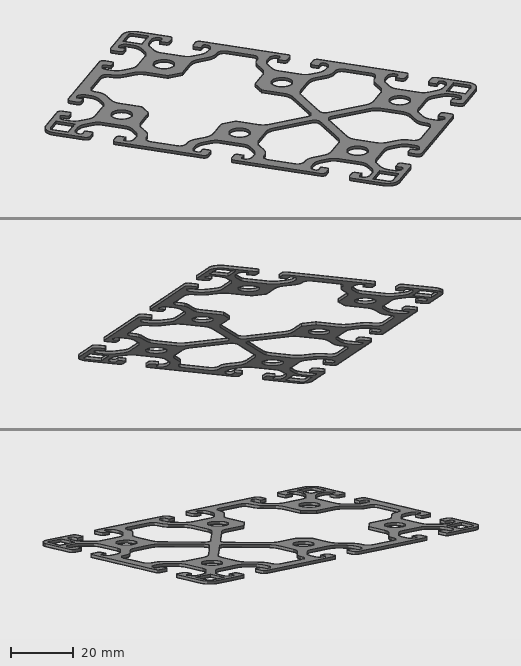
import cadquery as cq
import math

LENGTH = 120.0
COLUMNS = 3
ROWS = 2
PITCH = LENGTH / COLUMNS
WIDTH = ROWS * PITCH
THICKNESS = 1.0
OUTER_CORNER_RADIUS = 4.0

MOUTH_HALF = 4.0
LIP_DEPTH = 4.5
LIP_WIDTH = 3.0
LIP_FACE_RADIUS = 1.3
LIP_TIP_RADIUS = 1.0
POCKET_ROOF = 1.9
POCKET_HALF = 10.0
POCKET_ROOF_RADIUS = 2.2
POCKET_SHOULDER_RADIUS = 4.8
POCKET_FLOOR_RADIUS = 4.0
POCKET_BEVEL_GAP = 1.5
LIP_ROOT_RADIUS = 0.7

BOSS_HALF = 7.7
BOSS_HOLE_DIAMETER = 6.8
BOSS_CHAMFER = 3.6
SPOKE_HALF = 1.5

WALL = 4.1
NECK_HALF = 6.8
WALL_CORNER_RADIUS = 2.4
BEND_RADIUS = 5.0
TIP_RADIUS = 2.0

CORNER_OPENING = 6.4
CORNER_OPENING_EDGE = 1.9
CORNER_OPENING_RADIUS = 1.2

BOSS_FACE = PITCH / 2 - BOSS_HALF
SPOKE_OFFSET = SPOKE_HALF * math.sqrt(2)


def rounded_plate(corners):
    """Extrude a closed outline of (x, y, radius) corners; radius 0 leaves a corner sharp."""
    pieces = []
    for i, (x, y, radius) in enumerate(corners):
        corner = cq.Vector(x, y)
        if radius == 0:
            pieces.append((corner, None, corner))
            continue
        before = cq.Vector(*corners[i - 1][:2])
        after = cq.Vector(*corners[(i + 1) % len(corners)][:2])
        to_before = (before - corner).normalized()
        to_after = (after - corner).normalized()
        half_angle = to_before.getAngle(to_after) / 2
        setback = radius / math.tan(half_angle)
        bisector = (to_before + to_after).normalized()
        middle = corner + bisector * (radius / math.sin(half_angle) - radius)
        pieces.append((corner + to_before * setback, middle, corner + to_after * setback))

    outline = cq.Workplane("XY").moveTo(*pieces[-1][2].toTuple()[:2])
    for start, middle, end in pieces:
        outline = outline.lineTo(start.x, start.y)
        if middle is not None:
            outline = outline.threePointArc((middle.x, middle.y), (end.x, end.y))
    return outline.wire().extrude(THICKNESS)


def mirrored(half):
    """Complete a left-hand chain of corners with its mirror image about the Y axis."""
    return half + [(-x, y, radius) for x, y, radius in reversed(half)]


def turned(corners, degrees, center=(0, 0)):
    """Turn corners about the origin, then move them to a centre."""
    c = math.cos(math.radians(degrees))
    s = math.sin(math.radians(degrees))
    return [(center[0] + c * x - s * y, center[1] + s * x + c * y, r) for x, y, r in corners]


def slot_corners():
    """One T-slot opening downward, with the outer face on Y = 0."""
    lip_outer = MOUTH_HALF + LIP_WIDTH
    bevel_sum = PITCH / 2 - POCKET_BEVEL_GAP * math.sqrt(2)
    floor_half = bevel_sum - BOSS_FACE
    shoulder_depth = bevel_sum - POCKET_HALF
    return mirrored([
        (-MOUTH_HALF, 0, LIP_FACE_RADIUS),
        (-MOUTH_HALF, LIP_DEPTH, LIP_TIP_RADIUS),
        (-lip_outer, LIP_DEPTH, 0),
        (-lip_outer, POCKET_ROOF, LIP_ROOT_RADIUS),
        (-POCKET_HALF, POCKET_ROOF, POCKET_ROOF_RADIUS),
        (-POCKET_HALF, shoulder_depth, POCKET_SHOULDER_RADIUS),
        (-floor_half, BOSS_FACE, POCKET_FLOOR_RADIUS),
    ])


def slotted_blank():
    """Outer outline, walked counter-clockwise with a slot at every cell."""
    corners = []
    sides = [(COLUMNS, WIDTH), (ROWS, LENGTH), (COLUMNS, WIDTH), (ROWS, LENGTH)]
    for side, (cells, across) in enumerate(sides):
        start = -cells * PITCH / 2
        chain = [(start, -across / 2, OUTER_CORNER_RADIUS)]
        for cell in range(cells):
            middle = start + (cell + 0.5) * PITCH
            chain += [(middle + x, y - across / 2, r) for x, y, r in slot_corners()]
        corners += turned(chain, 90 * side)
    return rounded_plate(corners)


def lobe_corners(near_corner):
    """Cavity lobe pointing along +Y from the meeting point of four cells, clockwise."""
    return mirrored([
        near_corner,
        (-BOSS_FACE, PITCH - SPOKE_OFFSET - BOSS_FACE, BEND_RADIUS),
        (-NECK_HALF, PITCH - SPOKE_OFFSET - NECK_HALF, BEND_RADIUS),
        (-NECK_HALF, PITCH - WALL, WALL_CORNER_RADIUS),
    ])


SPOKE_BEND = (-BOSS_FACE, BOSS_FACE + SPOKE_OFFSET, BEND_RADIUS)
CROSSING_TIP = (0, SPOKE_OFFSET, TIP_RADIUS)
CROSSING_CENTER = (PITCH / 2, 0)
OPEN_CENTER = (-PITCH / 2, 0)


def closed_cavity(degrees):
    """One of the three separate cavities around the spoke crossing."""
    corners = lobe_corners(SPOKE_BEND) + [CROSSING_TIP]
    return rounded_plate(turned(corners, degrees, CROSSING_CENTER))


def open_cavity():
    """Large cavity: three lobes without spokes, reaching right to the spoke crossing."""
    chamfer_start = BOSS_FACE + BOSS_CHAMFER
    lobe = lobe_corners((-BOSS_FACE, chamfer_start, 0))
    corners = []
    for degrees in (180, 90, 0):
        corners += turned(lobe, degrees, OPEN_CENTER)

    upper_chamfer_end = (OPEN_CENTER[0] + chamfer_start, BOSS_FACE, 0)
    lower_chamfer_end = (OPEN_CENTER[0] + chamfer_start, -BOSS_FACE, 0)
    bend_x, bend_y, bend_radius = SPOKE_BEND
    crossing_side = [(-bend_x, bend_y, bend_radius), CROSSING_TIP, (bend_x, bend_y, bend_radius)]
    corners.append(upper_chamfer_end)
    corners += turned(crossing_side, 90, CROSSING_CENTER)
    corners.append(lower_chamfer_end)
    return rounded_plate(corners)


def boss_holes():
    """A round hole through the boss of every cell."""
    holes = cq.Workplane("XY").rarray(PITCH, PITCH, COLUMNS, ROWS)
    return holes.circle(BOSS_HOLE_DIAMETER / 2).extrude(THICKNESS)


def corner_opening(x_sign, y_sign):
    """Square opening in one outer corner, rounded on the side facing that corner."""
    outer_x = LENGTH / 2 - CORNER_OPENING_EDGE
    outer_y = WIDTH / 2 - CORNER_OPENING_EDGE
    inner_x = outer_x - CORNER_OPENING
    inner_y = outer_y - CORNER_OPENING
    return rounded_plate([
        (x_sign * inner_x, y_sign * inner_y, 0),
        (x_sign * outer_x, y_sign * inner_y, 0),
        (x_sign * outer_x, y_sign * outer_y, CORNER_OPENING_RADIUS),
        (x_sign * inner_x, y_sign * outer_y, 0),
    ])


result = slotted_blank().cut(open_cavity()).cut(boss_holes())
for angle in (0, 180, 270):
    result = result.cut(closed_cavity(angle))
for x_side in (-1, 1):
    for y_side in (-1, 1):
        result = result.cut(corner_opening(x_side, y_side))